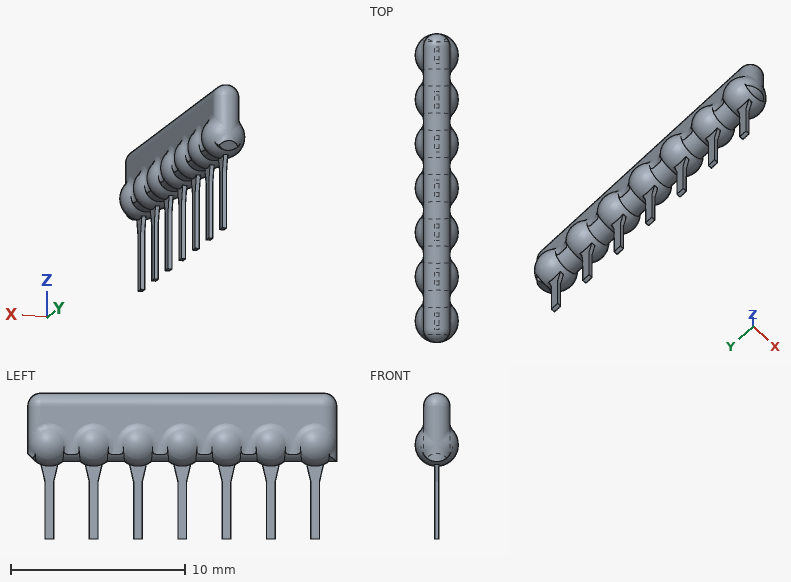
import cadquery as cq

pin_count = 7
pin_pitch = 2.54
pin_row_length = (pin_count - 1) * pin_pitch

bead_radius = 1.24
bead_height = 2.12
bead_blend_radius = 0.5

end_clearance = 0.005
body_length = pin_row_length + 2 * (bead_radius + end_clearance)
body_thickness = 1.52
body_top = 5.08
body_bottom = 1.15
underside_radius = 0.9
corner_bevel = 0.47
end_radius = body_thickness / 2
straight_length = body_length - body_thickness
crown_axis_height = body_top - end_radius
underside_axis_height = body_bottom + underside_radius

pin_thickness = 0.25
pin_width = 0.51
pin_length = 3.30
shoulder_width = 0.95
shoulder_height = 0.93

pin_positions = [i * pin_pitch - pin_row_length / 2 for i in range(pin_count)]


def make_bead(y):
    """Sphere with its poles on X, so each blend seam circles a pole."""
    bead = cq.Workplane("XY").sphere(bead_radius)
    return bead.rotate((0, 0, 0), (0, 1, 0), 90).translate((0, y, bead_height))


def make_rod(radius, length, height):
    """Horizontal rod along Y, centred on the body."""
    return cq.Workplane("XZ", origin=(0, length / 2, height)).circle(radius).extrude(length)


def make_wall():
    """Flat-sided slab with the beads blended into its two faces."""
    wall_bottom = bead_height - 2 * bead_radius
    wall = (
        cq.Workplane("XY", origin=(0, 0, wall_bottom))
        .slot2D(body_length, body_thickness, 90)
        .extrude(crown_axis_height - wall_bottom)
    )
    for y in pin_positions:
        wall = wall.union(make_bead(y))
    seam_zone = cq.selectors.BoxSelector(
        (-body_thickness, -body_length, bead_height - bead_radius),
        (body_thickness, body_length, bead_height + bead_radius),
        boundingbox=True,
    )
    candidates = wall.edges(seam_zone).vals()
    seams = [edge for edge in candidates if edge.BoundingBox().xmax < (end_radius + bead_radius) / 2]
    return wall.newObject(seams).fillet(bead_blend_radius)


def cut_corner(rod):
    """Bevel the lower corner at the +Y end, leaving the outer bead to form the end there."""
    end_y = body_length / 2
    bevel = (
        cq.Workplane("YZ", origin=(-body_thickness, 0, 0))
        .moveTo(end_y, body_bottom)
        .lineTo(end_y, body_bottom + corner_bevel)
        .lineTo(end_y - corner_bevel, body_bottom)
        .close()
        .extrude(2 * body_thickness)
    )
    return rod.cut(bevel)


def round_underside(wall):
    """Trim the wall, but not the beads, below the underside axis to a rod along Y."""
    upper_height = crown_axis_height - underside_axis_height
    upper_space = cq.Workplane("XY", origin=(0, 0, underside_axis_height)).box(
        2 * body_thickness, 2 * body_length, upper_height, centered=(True, True, False)
    )
    lower_space = make_rod(underside_radius, body_length, underside_axis_height)
    kept_space = upper_space.union(cut_corner(lower_space))
    for y in pin_positions:
        kept_space = kept_space.union(make_bead(y))
    return wall.intersect(kept_space)


def make_crown():
    """Round top edge closed by a spherical corner at each end."""
    crown = make_rod(end_radius, straight_length, crown_axis_height)
    for y in (-straight_length / 2, straight_length / 2):
        corner = cq.Workplane("XY").sphere(end_radius).translate((0, y, crown_axis_height))
        crown = crown.union(corner)
    return crown


def make_pin(y):
    half_pin = pin_width / 2
    half_shoulder = shoulder_width / 2
    return (
        cq.Workplane("YZ", origin=(-pin_thickness / 2, y, 0))
        .moveTo(-half_pin, -pin_length)
        .lineTo(half_pin, -pin_length)
        .lineTo(half_pin, 0)
        .lineTo(half_shoulder, shoulder_height)
        .lineTo(half_shoulder, bead_height)
        .lineTo(-half_shoulder, bead_height)
        .lineTo(-half_shoulder, shoulder_height)
        .lineTo(-half_pin, 0)
        .close()
        .extrude(pin_thickness)
    )


result = round_underside(make_wall()).union(make_crown())
for y in pin_positions:
    result = result.union(make_pin(y))